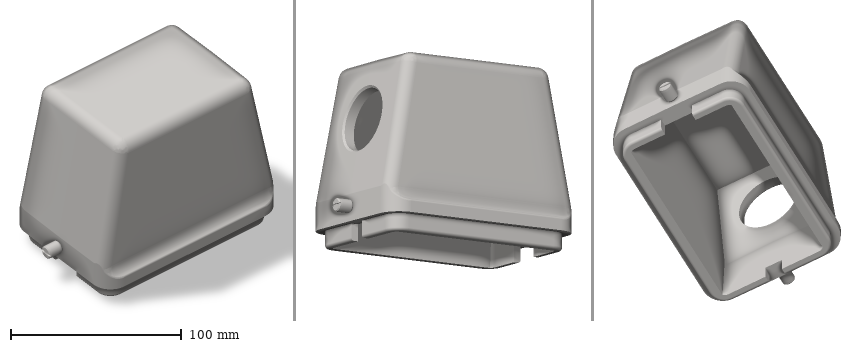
import cadquery as cq
import math

total_height = 108.4
flange_bottom = 10.2
pin_height = 19.0
ledge_height = 16.1

meeting_height = 26.4
body_half_width = 40.4
body_half_length = 66.2
side_draft = math.radians(1.6)
end_draft = math.radians(10.9)
crease_draft = 0.4
corner_radius = 6.8
roof_radius = 7.3
near_middle = 1.5

flange_half_width = 45.0
flange_radius = 12.9
flare_radius = 9.5
lip_radius = 1.4

skirt_half_width = 39.8
skirt_half_length = 61.2
skirt_radius = 9.5
skirt_edge_radius = 1.7
front_notch_width = 20.5
back_notch_width = 11.0

skirt_wall = 4.5
body_wall = 7.6

pin_reach = 75.9
pin_diameter = 8.0
pin_tip_diameter = 7.9
pin_tip_length = 2.0
pin_edge = 0.6
pin_neck_length = 0.8
pin_neck_diameter = 7.0
pin_root = skirt_half_length
pin_slot_width = 1.4
pin_slot_depth = 1.0

entry_diameter = 38.5
entry_mouth_diameter = 41.0
entry_chamfer = (entry_mouth_diameter - entry_diameter) / 2
entry_height = 72.1


def end_half_length(height):
    """Half length of the outer body at the middle plane."""
    return body_half_length - (height - meeting_height) * math.tan(end_draft)


def side_half_width(height):
    """Half width of the outer body."""
    return body_half_width - (height - meeting_height) * math.tan(side_draft)


def mirrored(half):
    """Join a +X half with its mirror image."""
    return half.union(half.mirror("YZ"))


def tapered_half(bottom, inset):
    """The +X half of the tapered body, with every wall moved inward by inset."""
    top = total_height - inset
    end_inset = inset / math.cos(end_draft)
    side_inset = inset / math.cos(side_draft)
    low_length = end_half_length(bottom) - end_inset
    high_length = end_half_length(top) - end_inset
    low_width = side_half_width(bottom) - side_inset
    high_width = side_half_width(top) - side_inset
    crease_run = 2 * body_half_width
    extra = 3.0
    extra_length = extra * math.tan(end_draft)
    half = (
        cq.Workplane("YZ")
        .polyline([
            (-low_length - extra_length, bottom - extra),
            (low_length + extra_length, bottom - extra),
            (high_length, top),
            (-high_length, top),
        ])
        .close()
        .extrude(crease_run, taper=crease_draft)
    )
    side_cut = (
        cq.Workplane("XZ")
        .polyline([(0, bottom), (low_width, bottom), (high_width, top), (0, top)])
        .close()
        .extrude(2 * body_half_length, both=True)
    )
    return half.intersect(side_cut)


def edges_between(x_min, z_min, x_max, z_max):
    """Selector for edges centred in this X and Z range, at any Y within the part."""
    return cq.selectors.BoxSelector((x_min, -pin_reach, z_min), (x_max, pin_reach, z_max))


def body_half():
    """The +X half of the outer body with rounded corners and roof edges."""
    sharp = tapered_half(flange_bottom, 0)
    corners = edges_between(near_middle, meeting_height, body_half_width, total_height - roof_radius)
    roof_edges = edges_between(near_middle, total_height - roof_radius, body_half_width, total_height)
    return sharp.edges(corners).fillet(corner_radius).edges(roof_edges).fillet(roof_radius)


def flange_outline_half():
    """The +X half of the flange outline, as a column as tall as the part."""
    corner_drop = flange_half_width * math.tan(math.radians(crease_draft))
    corner_length = body_half_length - corner_drop
    return (
        cq.Workplane("XY", origin=(0, 0, flange_bottom))
        .polyline([
            (0, -body_half_length),
            (flange_half_width, -corner_length),
            (flange_half_width, corner_length),
            (0, body_half_length),
        ])
        .close()
        .extrude(total_height - flange_bottom)
        .edges("|Z and >X")
        .fillet(flange_radius)
    )


def shell_half():
    """The +X half of body and flange, blended by a concave fillet cut off at the flange outline."""
    ledge = (
        cq.Workplane("XY", origin=(0, 0, flange_bottom))
        .rect(2 * flange_half_width, 4 * body_half_length)
        .extrude(ledge_height - flange_bottom)
        .translate((flange_half_width, 0, 0))
    )
    foot_margin = 0.2
    foot = edges_between(
        near_middle, ledge_height - foot_margin, flange_half_width, ledge_height + foot_margin
    )
    blended = body_half().union(ledge).edges(foot).fillet(flare_radius)
    half = blended.intersect(flange_outline_half())
    return half.edges("|Y").edges(">X").edges(">Z").fillet(lip_radius)


def skirt():
    """Rounded block below the flange that plugs into the mating half."""
    return (
        cq.Workplane("XY")
        .rect(2 * skirt_half_width, 2 * skirt_half_length)
        .extrude(flange_bottom)
        .edges("|Z")
        .fillet(skirt_radius)
        .faces("<Z")
        .edges()
        .fillet(skirt_edge_radius)
    )


def cavity():
    """Straight inside the skirt, then parallel to the body walls."""
    straight = (
        cq.Workplane("XY")
        .rect(2 * (skirt_half_width - skirt_wall), 2 * (skirt_half_length - skirt_wall))
        .extrude(total_height)
        .edges("|Z")
        .fillet(skirt_radius - skirt_wall)
    )
    return straight.intersect(mirrored(tapered_half(0, body_wall)))


def notch(width, side):
    """Slot through one end wall of the skirt; side is -1 for -Y and 1 for +Y."""
    return (
        cq.Workplane("XY")
        .center(0, side * skirt_half_length)
        .rect(width, 3 * skirt_wall)
        .extrude(flange_bottom)
    )


def cable_entry():
    """Round opening square to the sloping +Y wall, chamfered at its mouth."""
    wall_plane = cq.Plane(
        origin=(0, end_half_length(entry_height), entry_height),
        xDir=(1, 0, 0),
        normal=(0, math.cos(end_draft), math.sin(end_draft)),
    )
    mouth_radius = entry_mouth_diameter / 2
    bore_radius = entry_diameter / 2
    bore = cq.Workplane(wall_plane).circle(bore_radius).extrude(2 * body_wall, both=True)
    mouth = (
        cq.Workplane(wall_plane)
        .workplane(offset=-entry_chamfer)
        .circle(bore_radius)
        .workplane(offset=entry_chamfer)
        .circle(mouth_radius)
        .loft()
    )
    return bore.union(mouth)


def pin():
    """Slotted locking pin on the -Y end."""
    radius = pin_diameter / 2
    tip_radius = pin_tip_diameter / 2
    neck_radius = pin_neck_diameter / 2
    neck_end = body_half_length + pin_neck_length
    body = (
        cq.Workplane("XY")
        .polyline([
            (0, -pin_root),
            (neck_radius, -pin_root),
            (neck_radius, -body_half_length),
            (radius, -neck_end),
            (radius, -(pin_reach - pin_tip_length)),
            (tip_radius, -(pin_reach - pin_edge)),
            (tip_radius - pin_edge, -pin_reach),
            (0, -pin_reach),
        ])
        .close()
        .revolve(360, (0, 0, 0), (0, 1, 0))
    )
    slot = cq.Workplane("XY").box(2 * pin_diameter, 2 * pin_slot_depth, pin_slot_width)
    return body.cut(slot.translate((0, -pin_reach, 0))).translate((0, 0, pin_height))


result = mirrored(shell_half()).union(skirt()).cut(cavity())
result = result.cut(notch(front_notch_width, -1)).cut(notch(back_notch_width, 1))
result = result.cut(cable_entry())
result = result.union(pin()).union(pin().mirror("XZ"))